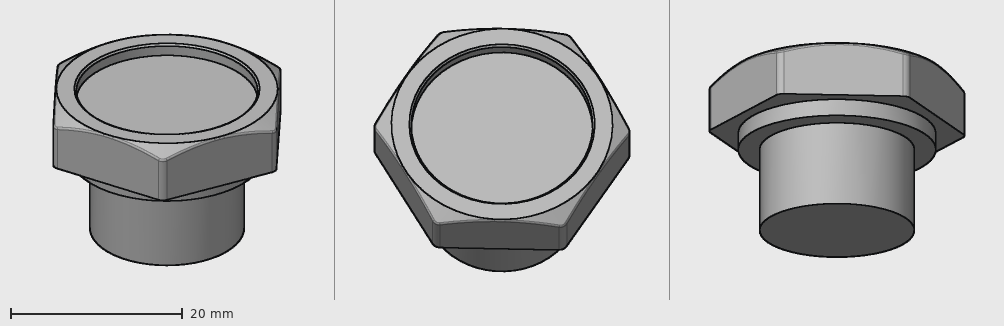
import cadquery as cq
import math

side_count = 6
half_side_angle = 180 / side_count
across_flats = 26.0
head_height = 6.5
corner_radius = 1.0
crown_diameter = 25.73
crown_angle = 30
crown_edge_radius = 0.3

collar_diameter = 23.0
collar_height = 2.0
shank_diameter = 18.0
shank_length = 10.0

recess_diameter = 21.1
recess_depth = 1.5
recess_lip = 0.25

head_bottom = shank_length + collar_height
head_top = head_bottom + head_height
sharp_corner_diameter = across_flats / math.cos(math.radians(half_side_angle))


def make_crown_cone():
    """Solid of revolution whose sloping top trims the head's corners."""
    crown_radius = crown_diameter / 2
    outer_radius = sharp_corner_diameter / 2
    drop = (outer_radius - crown_radius) * math.tan(math.radians(crown_angle))
    return (
        cq.Workplane("XZ")
        .moveTo(0, head_bottom)
        .lineTo(outer_radius, head_bottom)
        .lineTo(outer_radius, head_top - drop)
        .lineTo(crown_radius, head_top)
        .lineTo(0, head_top)
        .close()
        .revolve(360, (0, 0, 0), (0, 1, 0))
    )


def make_head():
    """Hexagon with corners on the Y axis, rounded and crowned."""
    prism = (
        cq.Workplane("XY", origin=(0, 0, head_bottom))
        .polygon(side_count, sharp_corner_diameter)
        .extrude(head_height)
        .rotate((0, 0, 0), (0, 0, 1), half_side_angle)
        .edges("|Z")
        .fillet(corner_radius)
    )
    crowned = prism.intersect(make_crown_cone())
    crown_edges = crowned.edges("not(|Z or <Z or >Z)")
    return crown_edges.fillet(crown_edge_radius)


def make_recess():
    """Cutter for the recess, widening at its mouth."""
    floor = head_top - recess_depth
    bore = cq.Workplane("XY", origin=(0, 0, floor)).circle(recess_diameter / 2).extrude(recess_depth)
    return bore.union(
        cq.Workplane("XY", origin=(0, 0, head_top - recess_lip))
        .circle(recess_diameter / 2)
        .workplane(offset=recess_lip)
        .circle(recess_diameter / 2 + recess_lip)
        .loft()
    )


shank = cq.Workplane("XY").circle(shank_diameter / 2).extrude(shank_length)
collar = (
    cq.Workplane("XY", origin=(0, 0, shank_length))
    .circle(collar_diameter / 2)
    .extrude(collar_height)
)

result = shank.union(collar).union(make_head()).cut(make_recess())